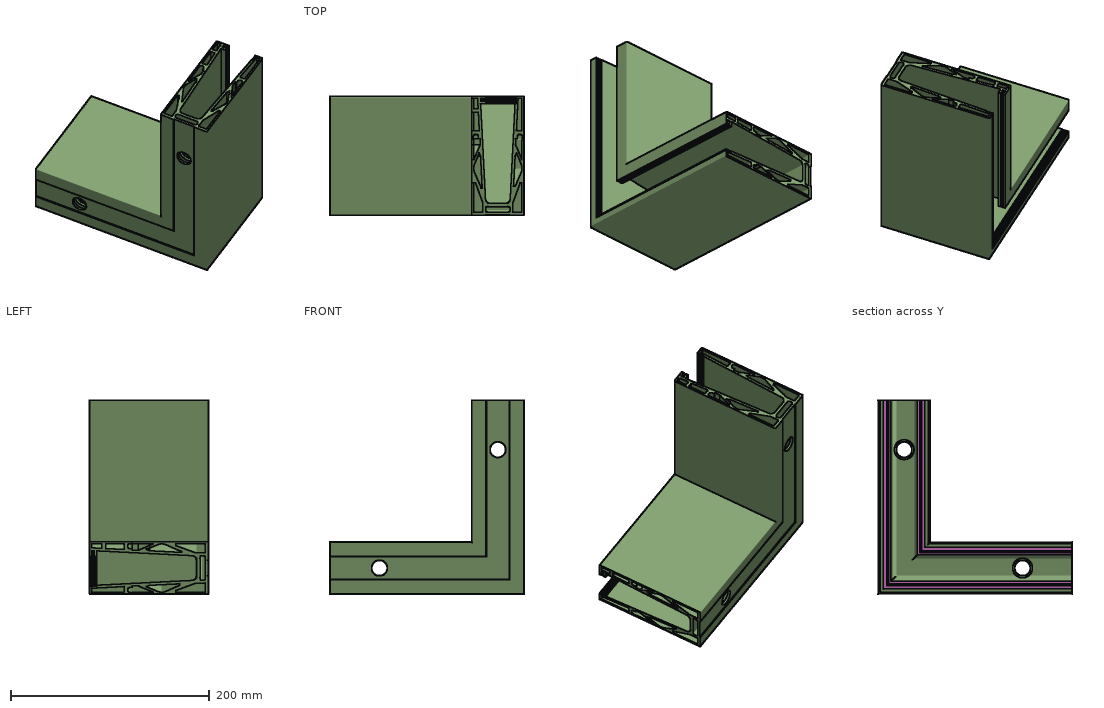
import cadquery as cq

LEG_LENGTH = 196.0
DEPTH = 120.4
HEIGHT = 52.9
MIDDLE = HEIGHT / 2

SKIN = 2.1
FRONT_SKIN = 3.3
FRONT_EDGE_RADIUS = 0.8
BACK_EDGE_RADIUS = 1.2

RECESS_EDGE = 14.4
RECESS_DEPTH = 0.5
RECESS_SLOPE = 0.7

CHANNEL_FLOOR = 12.0
CHANNEL_FLOOR_WALL = 14.2
CHANNEL_MOUTH_WALL = 9.1
CHANNEL_MOUTH = 112.8
CHANNEL_RADIUS = 5.0
INNER_SKIN = 2.8

TOOTH_COUNT = 8
TOOTH_TIP = 8.6
TOOTH_ROOT = 7.9

LIP_REACH = 14.6
GROOVE_BOTTOM = 9.2
GROOVE_FRONT = 115.5
GROOVE_BACK = 118.0
GROOVE_MOUTH_BACK = 117.4
GROOVE_MOUTH_DEPTH = 1.0

SLOT_BACK = 8.7
SLOT_WALL = 14.0
SLOT_RADIUS = 2.0

CAVITY_RADIUS = 0.7
FOOT_BACK = 33.0
FOOT_CORNER = 12.8
FOOT_CORNER_RADIUS = 2.5
FOOT_TOP = 11.2
FOOT_TIP = 3.8
OUTER_TRUSS_FRONT = 29.2
INNER_TRUSS_FRONT = 27.2
TRUSS_FRONT_SLOPE = 0.44
TRUSS_APEX_FRONT = 45.0
TRUSS_APEX_BACK = 49.6
TRUSS_APEX_RADIUS = 10.0
TRUSS_BACK = 63.0
TRUSS_BACK_TIP = 7.6
TRUSS_BACK_CORNER = 59.5
PORT_U = 79.2
PORT_T = 4.3
PORT_RADIUS = 2.6
TAIL_BACK = 77.2
TAIL_TAPER = 1.4
TAIL_TOP = 8.5
TAIL_CORNER = 71.2
TAIL_TIP = 56.0
REAR_FRONT = 85.2
REAR_BACK = 118.1
REAR_DIVIDER_FRONT = 104.1
REAR_DIVIDER_BACK = 107.7

HOLE_DIAMETER = 15.6
FLOOR_HOLE_DIAMETER = 20.0
HOLE_FROM_END = 50.0


def channel_wall(u):
    """Distance of the channel side from the outside of its wall."""
    slope = (CHANNEL_FLOOR_WALL - CHANNEL_MOUTH_WALL) / (CHANNEL_MOUTH - CHANNEL_FLOOR)
    return CHANNEL_MOUTH_WALL + slope * (CHANNEL_MOUTH - u)


def cavity_limit(u):
    """Deepest place of a wall cavity, one inner skin away from the channel."""
    return channel_wall(u) - INNER_SKIN


def prism(points):
    """Closed section polygon drawn in (u, t), extruded over the full leg."""
    return (
        cq.Workplane("YZ")
        .polyline([(u - DEPTH / 2, t) for u, t in points])
        .close()
        .extrude(-LEG_LENGTH)
    )


def opposite(points):
    """The same outline measured from the inner side of the corner."""
    return [(u, HEIGHT - t) for u, t in points]


def in_inner_wall(solid):
    """An outer-wall cavity reflected into the inner wall."""
    return solid.mirror("XY", (0, 0, MIDDLE))


def round_edge(solid, u, t, radius):
    """Fillet of the lengthwise edge at section position (u, t)."""
    middle_of_edge = (-LEG_LENGTH / 2, u - DEPTH / 2, t)
    return solid.edges(cq.selectors.NearestToPointSelector(middle_of_edge)).fillet(radius)


def body():
    low = RECESS_EDGE
    high = HEIGHT - RECESS_EDGE
    outline = [
        (0, 0),
        (0, low),
        (RECESS_DEPTH, low + RECESS_SLOPE),
        (RECESS_DEPTH, high - RECESS_SLOPE),
        (0, high),
        (0, HEIGHT),
        (DEPTH, HEIGHT),
        (DEPTH, 0),
    ]
    solid = prism(outline)
    for u, radius in ((0, FRONT_EDGE_RADIUS), (DEPTH, BACK_EDGE_RADIUS)):
        for t in (0, HEIGHT):
            solid = round_edge(solid, u, t, radius)
    return solid


def channel():
    floor = [(CHANNEL_FLOOR, channel_wall(CHANNEL_FLOOR))]
    mouth = [(CHANNEL_MOUTH, CHANNEL_MOUTH_WALL)]
    tapered = prism(floor + mouth + opposite(mouth) + opposite(floor))
    return tapered.edges("|X and <Y").fillet(CHANNEL_RADIUS)


def mouth():
    """Opening between the serrated outer wall and the gasket lip."""
    pitch = (DEPTH - CHANNEL_MOUTH) / TOOTH_COUNT
    outline = [(CHANNEL_MOUTH, HEIGHT - LIP_REACH), (CHANNEL_MOUTH, TOOTH_TIP)]
    for tooth in range(TOOTH_COUNT):
        start = CHANNEL_MOUTH + tooth * pitch
        outline.append((start + pitch / 2, TOOTH_ROOT))
        outline.append((start + pitch, TOOTH_TIP))
    outline.append((DEPTH, HEIGHT - LIP_REACH))
    return prism(outline)


def gasket_groove():
    neck = LIP_REACH - GROOVE_MOUTH_DEPTH
    outline = [
        (GROOVE_FRONT, GROOVE_BOTTOM),
        (GROOVE_BACK, GROOVE_BOTTOM),
        (GROOVE_BACK, neck),
        (GROOVE_MOUTH_BACK, neck),
        (GROOVE_MOUTH_BACK, LIP_REACH),
        (GROOVE_FRONT, LIP_REACH),
    ]
    return prism(opposite(outline))


def front_slot():
    low = [(FRONT_SKIN, SLOT_WALL), (SLOT_BACK, SLOT_WALL)]
    slot = prism(low + opposite(low)[::-1])
    return slot.edges("|X").fillet(SLOT_RADIUS)


def rear_cavity(front, back):
    """Hollow near the open back, as deep as the tapering wall allows."""
    outline = [
        (front, SKIN),
        (back, SKIN),
        (back, cavity_limit(back)),
        (front, cavity_limit(front)),
    ]
    return prism(outline).edges("|X and <Y").fillet(CAVITY_RADIUS)


def foot_cavity():
    """Hollow beside the channel floor, in the outer wall."""
    outline = [
        (FRONT_SKIN, SKIN),
        (FRONT_SKIN, FOOT_TOP),
        (FOOT_CORNER, FOOT_TOP),
        (FOOT_BACK, FOOT_TIP),
        (FOOT_BACK, SKIN),
    ]
    solid = round_edge(prism(outline), FOOT_CORNER, FOOT_TOP, FOOT_CORNER_RADIUS)
    return solid.edges("|X and <Y").fillet(CAVITY_RADIUS)


def truss_cavity(front):
    """Triangular hollow with a rounded apex on the outer skin."""
    front_tip = SKIN + TRUSS_FRONT_SLOPE * (TRUSS_APEX_FRONT - front)
    outline = [
        (front, cavity_limit(front)),
        (front, front_tip),
        (TRUSS_APEX_FRONT, SKIN),
        (TRUSS_APEX_BACK, SKIN),
        (TRUSS_BACK, TRUSS_BACK_TIP),
        (TRUSS_BACK_CORNER, cavity_limit(TRUSS_BACK_CORNER)),
    ]
    solid = prism(outline)
    for u in (TRUSS_APEX_FRONT, TRUSS_APEX_BACK):
        solid = round_edge(solid, u, SKIN, TRUSS_APEX_RADIUS)
    return solid


def port_cavity():
    """Round-ended screw port that opens into a tapering tail."""
    port_bottom = PORT_T - PORT_RADIUS
    port_top = PORT_T + PORT_RADIUS
    outline = [
        (PORT_U, port_bottom),
        (TAIL_BACK, port_bottom),
        (TAIL_BACK - TAIL_TAPER, SKIN),
        (TAIL_TIP, SKIN),
        (TAIL_CORNER, TAIL_TOP),
        (TAIL_BACK, TAIL_TOP),
        (TAIL_BACK, port_top),
        (PORT_U, port_top),
    ]
    round_end = (
        cq.Workplane("YZ")
        .center(PORT_U - DEPTH / 2, PORT_T)
        .circle(PORT_RADIUS)
        .extrude(-LEG_LENGTH)
    )
    return prism(outline).union(round_end)


def hole_cutter(diameter, start, end):
    """Round cutter along u at the place of the mounting hole."""
    return (
        cq.Workplane("XZ", origin=(HOLE_FROM_END - LEG_LENGTH, start - DEPTH / 2, MIDDLE))
        .circle(diameter / 2)
        .extrude(start - end)
    )


def mounting_hole():
    """Hole through the front skin, with a larger one through the channel floor behind it."""
    skin_hole = hole_cutter(HOLE_DIAMETER, 0, FRONT_SKIN)
    floor_hole = hole_cutter(FLOOR_HOLE_DIAMETER, SLOT_BACK, CHANNEL_FLOOR)
    return skin_hole.union(floor_hole)


def leg():
    """Straight leg along X, mitred at the end that meets the corner."""
    solid = body().cut(channel()).cut(mouth()).cut(gasket_groove()).cut(front_slot())
    outer_wall = [rear_cavity(REAR_FRONT, REAR_BACK), truss_cavity(OUTER_TRUSS_FRONT)]
    inner_wall = [
        rear_cavity(REAR_FRONT, REAR_DIVIDER_FRONT),
        rear_cavity(REAR_DIVIDER_BACK, REAR_BACK),
        truss_cavity(INNER_TRUSS_FRONT),
    ]
    shared = [foot_cavity(), port_cavity()]
    for cavity in outer_wall + shared:
        solid = solid.cut(cavity)
    for cavity in inner_wall + shared:
        solid = solid.cut(in_inner_wall(cavity))
    solid = solid.cut(mounting_hole())
    mitre_waste = (
        cq.Workplane("XZ")
        .polyline([(0, 0), (-HEIGHT, HEIGHT), (0, HEIGHT)])
        .close()
        .extrude(DEPTH / 2, both=True)
    )
    return solid.cut(mitre_waste)


lower_leg = leg()
upper_leg = lower_leg.mirror((1, 0, 1))
result = lower_leg.union(upper_leg, clean=False)